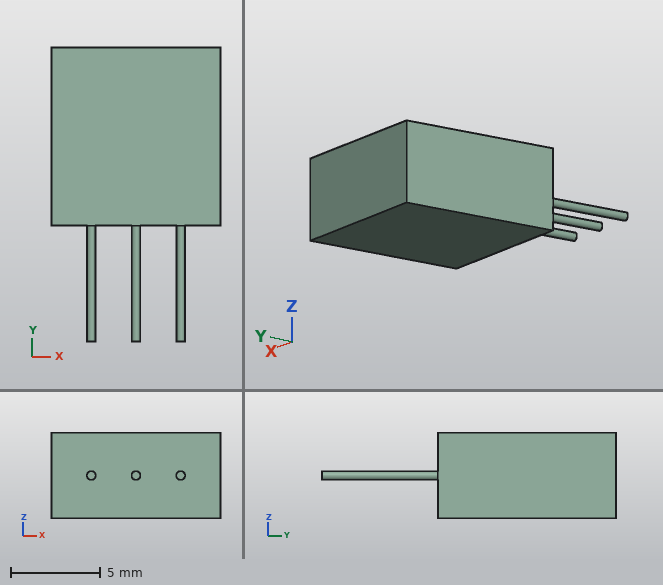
import cadquery as cq

total_length = 16.5
body_width = 9.5
body_height = 4.8
body_length = 10.0

pin_count = 3
pin_diameter = 0.5
pin_pitch = 2.5
pin_length = total_length - body_length


def make_body():
    """Plain block centred on X and Z, with its pin face at Y = 0."""
    return cq.Workplane("XY").box(
        body_width, body_length, body_height, centered=(True, False, True)
    )


def make_pins():
    """Evenly spaced pins running from the pin face toward -Y."""
    return (
        cq.Workplane("XZ")
        .rarray(pin_pitch, 0.16, pin_count, 1)
        .circle(pin_diameter / 2)
        .extrude(pin_length)
    )


result = make_body().union(make_pins())